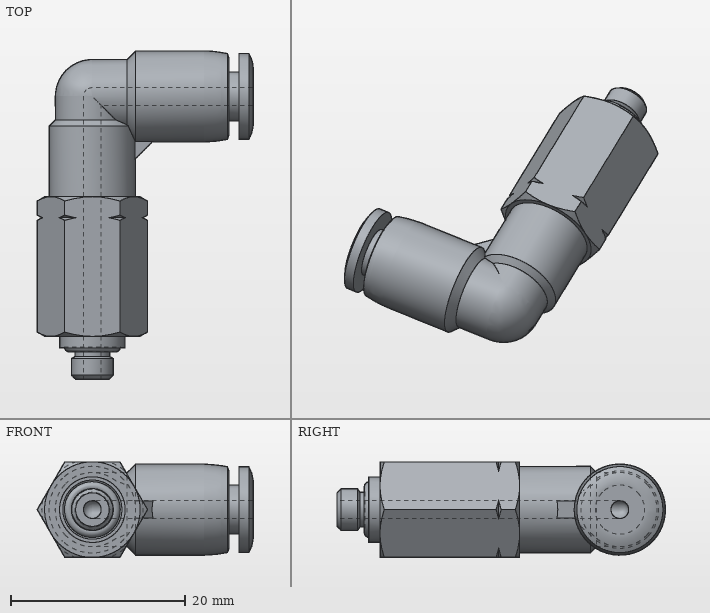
import cadquery as cq
import math


passage_radius = 1.02

bend_radius = 4.25
leg_radius = 5.0
leg_chamfer_start = 2.68
leg_chamfer_end = leg_chamfer_start + (leg_radius - bend_radius)
leg_end = 11.5

socket_radius = 5.25
socket_start = 5.0
socket_cone_start = socket_start - (socket_radius - bend_radius)
socket_taper_start = 12.87
socket_taper_end = 14.85
socket_taper_radius = 5.05
socket_end = 15.7
socket_lip_radius = 4.95
socket_lip_length = 0.2
socket_face_radius = 4.45
ring_neck_radius = 2.85
ring_radius = 4.95
ring_start = 16.85
ring_rim_end = 17.97
ring_end = 18.5
ring_face_radius = 3.02
ring_dome_bulge = 0.15

rib_width = 1.95
rib_foot = 7.15
rib_root_depth = 0.38

hex_across_flats = 11.0
hex_across_corners = hex_across_flats / math.cos(math.radians(30))
hex_length = 16.05
hex_end = leg_end + hex_length
hex_chamfer_angle = 30
hex_corner_height = hex_across_corners / 2 - hex_across_flats / 2
hex_chamfer_length = hex_corner_height * math.tan(math.radians(hex_chamfer_angle))

groove_position = 13.93
groove_half_width = 0.3
groove_bottom_radius = 5.8

collar_radius = 3.78
collar_end = 28.88
collar_mouth_radius = 3.4
boss_root = 28.8
boss_radius = 3.2
boss_crown_radius = 2.6
boss_crown = 29.37
boss_land_radius = 2.35
boss_end = 29.3
neck_radius = 2.0
neck_end = 29.85
nose_radius = 2.4
nose_start = 30.12
nose_chamfer = 0.5
fitting_end = 37.75 - socket_radius


def ball(radius):
    return cq.Workplane("XY").sphere(radius)


def rod_x(radius, length):
    """Cylinder along +X that starts at the origin."""
    return cq.Workplane("YZ").circle(radius).extrude(length)


def rod_down(radius, start, end):
    """Cylinder along -Y between two distances from the origin."""
    return cq.Workplane("XZ", origin=(0, -start, 0)).circle(radius).extrude(end - start)


def make_leg():
    """Bend cylinder and the wider leg that stands on the stem."""
    profile = (
        cq.Workplane("XY")
        .lineTo(bend_radius, 0)
        .lineTo(bend_radius, -leg_chamfer_start)
        .lineTo(leg_radius, -leg_chamfer_end)
        .lineTo(leg_radius, -leg_end)
        .lineTo(0, -leg_end)
        .close()
    )
    return profile.revolve(360, (0, 0, 0), (0, 1, 0))


def make_socket():
    """Tube socket with its release ring, turned about the X axis."""
    dome_middle = (
        (ring_rim_end + ring_end) / 2 + ring_dome_bulge,
        (ring_radius + ring_face_radius) / 2,
    )
    taper_middle = (
        (socket_taper_start + socket_taper_end) / 2,
        socket_radius - (socket_radius - socket_taper_radius) / 4,
    )
    profile = (
        cq.Workplane("XY")
        .lineTo(0, bend_radius)
        .lineTo(socket_cone_start, bend_radius)
        .lineTo(socket_start, socket_radius)
        .lineTo(socket_taper_start, socket_radius)
        .threePointArc(taper_middle, (socket_taper_end, socket_taper_radius))
        .lineTo(socket_end - socket_lip_length, socket_lip_radius)
        .lineTo(socket_end, socket_face_radius)
        .lineTo(socket_end, ring_neck_radius)
        .lineTo(ring_start, ring_neck_radius)
        .lineTo(ring_start, ring_radius)
        .lineTo(ring_rim_end, ring_radius)
        .threePointArc(dome_middle, (ring_end, ring_face_radius))
        .lineTo(ring_end, 0)
        .close()
    )
    return profile.revolve(360, (0, 0, 0), (1, 0, 0))


def make_rib():
    """Triangular rib at 45 degrees, rooted a little inside the leg and the socket."""
    root_x = leg_radius - rib_root_depth
    root_y = -(socket_radius - rib_root_depth)
    slope_offset = leg_radius + rib_foot
    return (
        cq.Workplane("XY")
        .moveTo(root_x, root_y)
        .lineTo(root_x, root_x - slope_offset)
        .lineTo(root_y + slope_offset, root_y)
        .close()
        .extrude(rib_width / 2, both=True)
    )


def make_elbow():
    outside = ball(bend_radius).union(make_leg()).union(make_socket()).union(make_rib())
    passage = (
        ball(passage_radius)
        .union(rod_down(passage_radius, 0, leg_end))
        .union(rod_x(passage_radius, ring_end))
    )
    return outside.cut(passage)


def make_hex():
    """Hexagon with two corners on X, both ends chamfered and a V groove cut in its corners."""
    prism = (
        cq.Workplane("XZ", origin=(0, -leg_end, 0))
        .polygon(6, hex_across_corners)
        .extrude(hex_length)
    )
    corner_radius = hex_across_corners / 2
    flat_radius = hex_across_flats / 2
    envelope = (
        cq.Workplane("XY")
        .moveTo(0, -leg_end)
        .lineTo(flat_radius, -leg_end)
        .lineTo(corner_radius, -leg_end - hex_chamfer_length)
        .lineTo(corner_radius, -groove_position + groove_half_width)
        .lineTo(groove_bottom_radius, -groove_position)
        .lineTo(corner_radius, -groove_position - groove_half_width)
        .lineTo(corner_radius, -hex_end + hex_chamfer_length)
        .lineTo(flat_radius, -hex_end)
        .lineTo(0, -hex_end)
        .close()
        .revolve(360, (0, 0, 0), (0, 1, 0))
    )
    return prism.intersect(envelope)


def make_nose():
    """Collar, rounded boss, undercut neck and chamfered nose, turned about the Y axis."""
    profile = (
        cq.Workplane("XY")
        .moveTo(0, -hex_end)
        .lineTo(collar_radius, -hex_end)
        .lineTo(collar_radius, -collar_end)
        .lineTo(collar_mouth_radius, -collar_end)
        .lineTo(boss_radius, -boss_root)
        .threePointArc((boss_crown_radius, -boss_crown), (boss_land_radius, -boss_end))
        .lineTo(neck_radius, -boss_end)
        .lineTo(neck_radius, -neck_end)
        .lineTo(nose_radius, -nose_start)
        .lineTo(nose_radius, -fitting_end + nose_chamfer)
        .lineTo(nose_radius - nose_chamfer, -fitting_end)
        .lineTo(0, -fitting_end)
        .close()
    )
    return profile.revolve(360, (0, 0, 0), (0, 1, 0))


def make_stem():
    passage = rod_down(passage_radius, leg_end, fitting_end)
    return make_hex().union(make_nose()).cut(passage)


elbow = make_elbow()
stem = make_stem()

result = cq.Compound.makeCompound([elbow.solids().val(), stem.solids().val()])